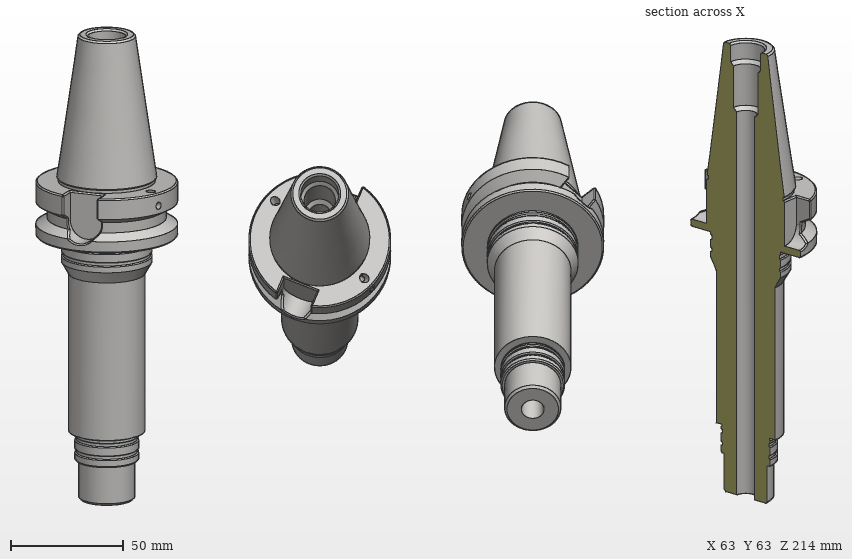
import cadquery as cq
import math

total_length = 214.0
gauge_z = 148.5
flange_top_z = 146.5
flange_bottom_z = 121.5
collar_bottom_z = 104.0
shank_bottom_z = 31.5
band_top_z = 30.4
band_bottom_z = 18.0

taper_top_radius = 12.8
taper_base_radius = 22.2
relief_radius = 21.5
flange_radius = 63.0 / 2
collar_radius = 40.5 / 2
shank_radius = 34.0 / 2
band_radius = 28.5 / 2
band_neck_radius = 13.7
nose_radius = 25.0 / 2

relief_flank = 0.6
taper_chamfer = 0.9
flange_chamfer = 0.6
band_chamfer = 0.6
nose_chamfer = 1.0

gripper_radius = 26.5
gripper_center_z = 132.0
gripper_floor_width = 4.7
gripper_mouth_width = 10.3

seal_depth = 0.6
seal_wall = 0.5
collar_seals = [(119.1, 2.5), (113.2, 2.1)]
collar_edge_z = 109.5
band_seals = [(28.2, 2.1), (22.5, 2.1)]

counterbore_radius = 17.0 / 2
counterbore_depth = 8.5
counterbore_chamfer = 0.9
thread_radius = 14.0 / 2
thread_depth = 30.0
through_radius = 10.0 / 2
bore_cone_run = 1.7

slot_width = 16.0
slot_bottom_z = 125.1
slot_arc_center_z = slot_bottom_z + slot_width / 2
slot_floor_offset = 22.5
slot_chamfer = 0.6
selection_margin = 0.2

coolant_angle = 160.0
inlet_radius = 3.9 / 2
inlet_center = 26.7
inlet_tilt = 30.0
radial_hole_radius = 3.2 / 2
radial_hole_z = 140.7


def groove_points(radius, center_z, mouth_width, floor_width, depth):
    """Profile corners of a trapezoidal groove, from its upper lip to its lower lip."""
    return [
        (radius, center_z + mouth_width / 2),
        (radius - depth, center_z + floor_width / 2),
        (radius - depth, center_z - floor_width / 2),
        (radius, center_z - mouth_width / 2),
    ]


def seal_points(radius, seals):
    """Profile corners of a stack of seal grooves listed from top to bottom."""
    points = []
    for center_z, width in seals:
        points += groove_points(radius, center_z, width, width - 2 * seal_wall, seal_depth)
    return points


def revolve_profile(points):
    """Solid of revolution about Z from (radius, level) corners."""
    return cq.Workplane("XZ").polyline(points).close().revolve(360, (0, 0), (0, 1))


def turned_body():
    """Taper, flange, collar, shank, banded neck and nose as one turned solid."""
    outline = [
        (0, total_length),
        (taper_top_radius - taper_chamfer, total_length),
        (taper_top_radius, total_length - taper_chamfer),
        (taper_base_radius, gauge_z),
        (relief_radius, gauge_z - relief_flank),
        (relief_radius, flange_top_z),
        (flange_radius - flange_chamfer, flange_top_z),
        (flange_radius, flange_top_z - flange_chamfer),
    ]
    outline += groove_points(
        flange_radius,
        gripper_center_z,
        gripper_mouth_width,
        gripper_floor_width,
        flange_radius - gripper_radius,
    )
    outline += [
        (flange_radius, flange_bottom_z + flange_chamfer),
        (flange_radius - flange_chamfer, flange_bottom_z),
        (collar_radius, flange_bottom_z),
    ]
    outline += seal_points(collar_radius, collar_seals)
    outline += [
        (collar_radius, collar_edge_z),
        (shank_radius, collar_bottom_z),
        (shank_radius, shank_bottom_z),
        (band_neck_radius, shank_bottom_z),
        (band_neck_radius, band_top_z + band_chamfer),
        (band_radius, band_top_z),
    ]
    outline += seal_points(band_radius, band_seals)
    outline += [
        (band_radius, band_bottom_z + band_chamfer),
        (band_radius - band_chamfer, band_bottom_z),
        (nose_radius, band_bottom_z),
        (nose_radius, nose_chamfer),
        (nose_radius - nose_chamfer, 0),
        (0, 0),
    ]
    return revolve_profile(outline)


def stepped_bore():
    """Through bore with a wider thread length and a chamfered counterbore at the top."""
    counterbore_floor_z = total_length - counterbore_depth
    thread_floor_z = total_length - thread_depth
    return revolve_profile([
        (0, total_length),
        (counterbore_radius + counterbore_chamfer, total_length),
        (counterbore_radius, total_length - counterbore_chamfer),
        (counterbore_radius, counterbore_floor_z),
        (thread_radius, counterbore_floor_z - bore_cone_run),
        (thread_radius, thread_floor_z),
        (through_radius, thread_floor_z - bore_cone_run),
        (through_radius, 0),
        (0, 0),
    ])


def drive_slot():
    """Round-ended slot cutter on the -Y side, open at the flange face and rim."""
    half_width = slot_width / 2
    return (
        cq.Workplane("XZ", origin=(0, -slot_floor_offset, 0))
        .moveTo(-half_width, total_length)
        .lineTo(-half_width, slot_arc_center_z)
        .threePointArc((0, slot_bottom_z), (half_width, slot_arc_center_z))
        .lineTo(half_width, total_length)
        .close()
        .extrude(flange_radius)
    )


def is_slot_mouth(edge):
    """True for a slot edge on the outer skin, False for one inside the slot."""
    center = edge.Center()
    on_floor = abs(abs(center.y) - slot_floor_offset) < selection_margin
    at_arc_end = edge.geomType() == "LINE" and abs(center.z - slot_arc_center_z) < selection_margin
    on_flange_top = abs(center.z - flange_top_z) < selection_margin
    return on_flange_top or not (on_floor or at_arc_end)


def add_drive_slot(body, side):
    """Cut the slot on the -Y (side = -1) or +Y (side = 1) face and chamfer its mouth."""
    cutter = drive_slot() if side < 0 else drive_slot().mirror("XZ")
    body = body.cut(cutter)
    half_width = slot_width / 2 + selection_margin
    slot_box = cq.selectors.BoxSelector(
        (-half_width, side * (slot_floor_offset - selection_margin), slot_bottom_z - selection_margin),
        (half_width, side * (flange_radius + selection_margin), flange_top_z + selection_margin),
        boundingbox=True,
    )
    mouth_edges = [edge for edge in body.edges(slot_box).vals() if is_slot_mouth(edge)]
    return body.newObject(mouth_edges).chamfer(slot_chamfer)


def coolant_hole():
    """Inlet leaning inward from the flange face to meet a radial hole from the rim, on the +X side."""
    drop = flange_top_z - radial_hole_z
    lean = drop * math.tan(math.radians(inlet_tilt))
    start = cq.Vector(inlet_center + lean, 0, flange_top_z + drop)
    meeting_point = cq.Vector(inlet_center - lean, 0, radial_hole_z)
    axis = meeting_point - start
    inlet = cq.Solid.makeCylinder(inlet_radius, axis.Length, start, axis)
    radial = cq.Solid.makeCylinder(radial_hole_radius, flange_radius, meeting_point, cq.Vector(1, 0, 0))
    return cq.Workplane(inlet).union(cq.Workplane(radial))


result = turned_body().cut(stepped_bore())
for slot_side in (-1, 1):
    result = add_drive_slot(result, slot_side)
for half_turn in (0, 180):
    result = result.cut(coolant_hole().rotate((0, 0, 0), (0, 0, 1), coolant_angle + half_turn))